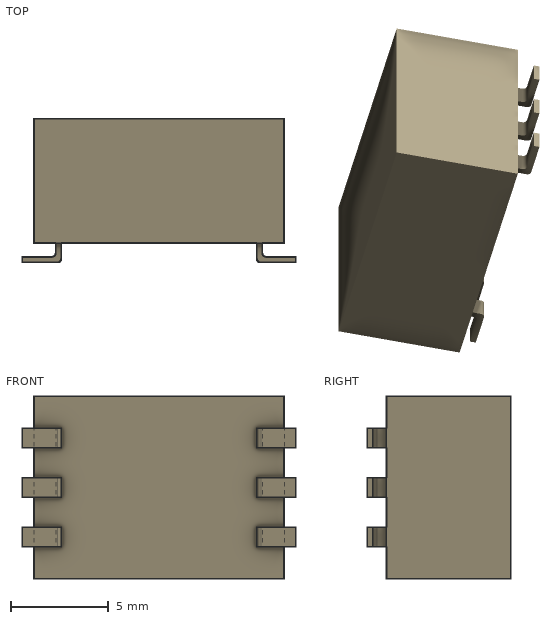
import cadquery as cq

span_x = 14.0
depth_y = 7.36
body_x = 12.8
body_z = 9.35
standoff = 1.0
body_y = depth_y - standoff

lead_width = 1.01
lead_thickness = 0.3
lead_pitch = 2.53
leads_per_side = 3
foot_length = 2.0
outer_bend = 0.2
inner_bend = 0.2

body = cq.Workplane("XY").box(body_x, body_y, body_z).translate((0, standoff + body_y / 2, 0))


def make_lead(side, z_center):
    """L-shaped lead whose foot points outward; side is -1 for -X or 1 for +X."""
    toe = side * span_x / 2
    heel = toe - side * foot_length
    leg_outer_face = heel + side * lead_thickness
    lead = (
        cq.Workplane("XY", origin=(0, 0, z_center))
        .moveTo(toe, 0)
        .lineTo(heel, 0)
        .lineTo(heel, standoff)
        .lineTo(leg_outer_face, standoff)
        .lineTo(leg_outer_face, lead_thickness)
        .lineTo(toe, lead_thickness)
        .close()
        .extrude(lead_width / 2, both=True)
    )
    heel_edge = cq.selectors.NearestToPointSelector((heel, 0, z_center))
    inner_edge = cq.selectors.NearestToPointSelector((leg_outer_face, lead_thickness, z_center))
    lead = lead.edges("|Z").edges(heel_edge).fillet(outer_bend)
    return lead.edges("|Z").edges(inner_edge).fillet(inner_bend)


result = body
for side in (-1, 1):
    for row in range(leads_per_side):
        z_center = (row - (leads_per_side - 1) / 2) * lead_pitch
        result = result.union(make_lead(side, z_center))